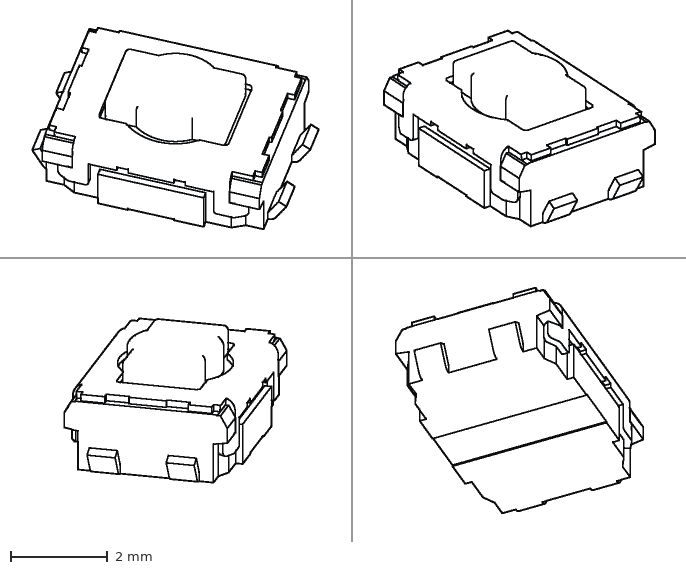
import cadquery as cq
import math

TOTAL_HEIGHT = 2.1
COVER_TOP = 1.65

SHEET = 0.145
COVER_HALF_Y = 1.74
COVER_BEND_RADIUS = 0.27
COVER_UNDERSIDE = COVER_TOP - SHEET
BEND_INNER_RADIUS = COVER_BEND_RADIUS - SHEET
BEND_Y = COVER_HALF_Y - COVER_BEND_RADIUS
BEND_Z = COVER_TOP - COVER_BEND_RADIUS
FLANGE_HALF_X = 1.7
WING_HALF_X = 2.15
LIP_OUTER_ANGLE = math.radians(17)
CORNER_TAB_HALF_X = 2.3
CORNER_TAB_Y = (0.895, 1.4)
MIDDLE_TAB_HALF_X = 2.2
MIDDLE_TAB_HALF_Y = 0.4

OPENING_HALF_X = 1.4
OPENING_HALF_Y = 0.895
OPENING_RADIUS = 1.2
OPENING_CORNER_RADIUS = 0.1

WINDOW_HALF_X = 1.355
WINDOW_TOP = 1.11
WINDOW_NOTCH_X = 0.615
WINDOW_NOTCH_WIDTH = 0.25
WINDOW_NOTCH_TOP = 1.21
LEG_BOTTOM = 0.47
LEG_BEND_X = 1.755
LEG_END_X = 2.07
LEG_SLOPE = math.radians(30)
LEG_END_CORNER_RADIUS = 0.1
LEG_WINDOW_CORNER_RADIUS = 0.075

BASE_HALF_X = 2.35
BASE_HALF_Y = 1.6
BASE_END_HALF_Y = 1.45
BASE_SLOPE_END_X = 1.965
CHANNEL_WIDTH = 1.0
CHANNEL_DEPTH = 0.03

BLOCK_HALF_Y = 1.75
BLOCK_TOP = 1.49
BLOCK_CHAMFER_Y = 1.6
BLOCK_CHAMFER_Z = 1.23
BLOCK_BOTTOM_OUTER = 0.9
BLOCK_BOTTOM_INNER = 0.85

LIP_INNER_ANGLE = math.acos((BLOCK_TOP - BEND_Z) / BEND_INNER_RADIUS)

PLATE_WIDTH = 2.29
PLATE_HEIGHT = 0.88

BUTTON_HALF_X = 1.3
BUTTON_HALF_Y = 0.8
BUTTON_RADIUS = 1.0
BUTTON_EDGE_RADIUS = 0.1

TERMINAL_TIP_X = 2.75
TERMINAL_THICKNESS = 0.2
TERMINAL_WIDTH = 0.6
TERMINAL_Y = 0.845
TERMINAL_SLOPE = math.radians(60)

SIDES = (-1, 1)


def box(x_range, y_range, z_range):
    """Box between the given limits."""
    (x0, x1), (y0, y1), (z0, z1) = x_range, y_range, z_range
    return cq.Workplane("XY").box(x1 - x0, y1 - y0, z1 - z0, centered=False).translate((x0, y0, z0))


def on_both_y_sides(solid):
    return solid.union(solid.mirror("XZ"))


def on_both_x_sides(solid):
    return solid.union(solid.mirror("YZ"))


def along_x(profile, x0, x1):
    """Extrude a YZ profile from x0 to x1."""
    return profile.extrude(x1 - x0).translate((x0, 0, 0))


def rounded_plan(half_x, half_y, corner_radius, disc_radius, z0, z1):
    """Upright prism: a rounded rectangle merged with a central disc."""
    height = z1 - z0
    rectangle = cq.Workplane("XY").rect(2 * half_x, 2 * half_y).extrude(height)
    rectangle = rectangle.edges("|Z").fillet(corner_radius)
    disc = cq.Workplane("XY").circle(disc_radius).extrude(height)
    return rectangle.union(disc).translate((0, 0, z0))


def bend_point(radius, angle):
    """YZ point on the cover bend, with the angle taken from straight up."""
    return (BEND_Y + radius * math.sin(angle), BEND_Z + radius * math.cos(angle))


def make_base():
    """Base with sloped lower corners and a block at each upper corner."""
    plan = [
        (0, 0),
        (BASE_HALF_X, 0),
        (BASE_HALF_X, BASE_END_HALF_Y),
        (BASE_SLOPE_END_X, BASE_END_HALF_Y),
        (FLANGE_HALF_X, BASE_HALF_Y),
        (0, BASE_HALF_Y),
    ]
    core = cq.Workplane("XY").polyline(plan).close().extrude(BLOCK_TOP)

    block_profile = (
        cq.Workplane("YZ")
        .moveTo(0, BLOCK_BOTTOM_INNER)
        .lineTo(BASE_END_HALF_Y, BLOCK_BOTTOM_INNER)
        .lineTo(BLOCK_HALF_Y, BLOCK_BOTTOM_OUTER)
        .lineTo(BLOCK_HALF_Y, BLOCK_CHAMFER_Z)
        .lineTo(BLOCK_CHAMFER_Y, BLOCK_TOP)
        .lineTo(*bend_point(BEND_INNER_RADIUS, LIP_INNER_ANGLE))
        .threePointArc(bend_point(BEND_INNER_RADIUS, LIP_INNER_ANGLE / 2), (BEND_Y, COVER_UNDERSIDE))
        .lineTo(0, COVER_UNDERSIDE)
        .close()
    )
    block = along_x(block_profile, FLANGE_HALF_X, BASE_HALF_X)
    crown = box((0, FLANGE_HALF_X), (0, BASE_HALF_Y), (BLOCK_TOP, COVER_UNDERSIDE))
    plate = box((0, PLATE_WIDTH / 2), (0, BLOCK_HALF_Y), (0, PLATE_HEIGHT))
    quarter = core.union(block).union(crown).union(plate)
    base = on_both_x_sides(on_both_y_sides(quarter))

    half_channel = CHANNEL_WIDTH / 2
    channel = box((-half_channel, half_channel), (-BLOCK_HALF_Y, BLOCK_HALF_Y), (0, CHANNEL_DEPTH))
    return base.cut(channel)


def make_cover_sheet():
    """Bent sheet over the base, with short wings past the flanges and tabs at both ends."""
    outer = box((-WING_HALF_X, WING_HALF_X), (-COVER_HALF_Y, COVER_HALF_Y), (WINDOW_TOP, COVER_TOP))
    outer = outer.edges("|X and >Z").fillet(COVER_BEND_RADIUS)
    inner_half_y = COVER_HALF_Y - SHEET
    inner = box((-WING_HALF_X, WING_HALF_X), (-inner_half_y, inner_half_y), (WINDOW_TOP, COVER_UNDERSIDE))
    inner = inner.edges("|X and >Z").fillet(BEND_INNER_RADIUS)
    sheet = outer.cut(inner)

    lip_cut = [
        (BEND_Y, BEND_Z),
        bend_point(BEND_INNER_RADIUS, LIP_INNER_ANGLE),
        bend_point(COVER_BEND_RADIUS, LIP_OUTER_ANGLE),
        (bend_point(COVER_BEND_RADIUS, LIP_OUTER_ANGLE)[0], COVER_TOP),
        (2 * COVER_HALF_Y, COVER_TOP),
        (2 * COVER_HALF_Y, 0),
        (BEND_Y, 0),
    ]
    wing_trim = along_x(cq.Workplane("YZ").polyline(lip_cut).close(), FLANGE_HALF_X, WING_HALF_X)
    sheet = sheet.cut(on_both_x_sides(on_both_y_sides(wing_trim)))

    tab_z = (COVER_UNDERSIDE, COVER_TOP)
    corner_tabs = on_both_y_sides(box((-CORNER_TAB_HALF_X, CORNER_TAB_HALF_X), CORNER_TAB_Y, tab_z))
    middle_y = (-MIDDLE_TAB_HALF_Y, MIDDLE_TAB_HALF_Y)
    middle_tab = box((-MIDDLE_TAB_HALF_X, MIDDLE_TAB_HALF_X), middle_y, tab_z)
    return sheet.union(corner_tabs).union(middle_tab)


def make_window_notches():
    """Cutter for the notches in the upper edge of both flange windows."""
    notches = cq.Workplane("XY")
    for side in SIDES:
        x0 = side * WINDOW_NOTCH_X - WINDOW_NOTCH_WIDTH / 2
        x_range = (x0, x0 + WINDOW_NOTCH_WIDTH)
        notches = notches.union(box(x_range, (-COVER_HALF_Y, COVER_HALF_Y), (WINDOW_TOP, WINDOW_NOTCH_TOP)))
    return notches


def make_leg():
    """Flange leg that wraps one sloped lower corner of the base."""
    sine, cosine = math.sin(LEG_SLOPE), math.cos(LEG_SLOPE)
    bend_y = COVER_HALF_Y - SHEET
    bend_end = (LEG_BEND_X + SHEET * sine, bend_y + SHEET * cosine)
    end_outer = (LEG_END_X, bend_end[1] - (LEG_END_X - bend_end[0]) * math.tan(LEG_SLOPE))
    end_inner = (end_outer[0] - SHEET * sine, end_outer[1] - SHEET * cosine)
    bend_middle = (LEG_BEND_X + SHEET * math.sin(LEG_SLOPE / 2), bend_y + SHEET * math.cos(LEG_SLOPE / 2))
    leg = (
        cq.Workplane("XY", origin=(0, 0, LEG_BOTTOM))
        .moveTo(WINDOW_HALF_X, COVER_HALF_Y)
        .lineTo(LEG_BEND_X, COVER_HALF_Y)
        .threePointArc(bend_middle, bend_end)
        .lineTo(*end_outer)
        .lineTo(*end_inner)
        .lineTo(WINDOW_HALF_X, end_inner[1])
        .close()
        .extrude(WINDOW_TOP - LEG_BOTTOM)
    )
    window_corner = cq.selectors.NearestToPointSelector((WINDOW_HALF_X, bend_y, LEG_BOTTOM))
    end_middle = ((end_outer[0] + end_inner[0]) / 2, (end_outer[1] + end_inner[1]) / 2, LEG_BOTTOM)
    end_corner = cq.selectors.NearestToPointSelector(end_middle)
    leg = leg.edges(window_corner).fillet(LEG_WINDOW_CORNER_RADIUS)
    return leg.edges(end_corner).fillet(LEG_END_CORNER_RADIUS)


def make_button():
    """Button with a rounded top edge, standing on the base inside the opening."""
    button = rounded_plan(
        BUTTON_HALF_X, BUTTON_HALF_Y, BUTTON_EDGE_RADIUS, BUTTON_RADIUS, COVER_UNDERSIDE, TOTAL_HEIGHT
    )
    return button.faces(">Z").edges().fillet(BUTTON_EDGE_RADIUS)


def make_terminal():
    """Terminal on the +X end: flat under the base, then bent upward and outward."""
    sine, cosine = math.sin(TERMINAL_SLOPE), math.cos(TERMINAL_SLOPE)
    t = TERMINAL_THICKNESS
    bend_end = (BASE_HALF_X + t * sine, t - t * cosine)
    bend_middle = (BASE_HALF_X + t * math.sin(TERMINAL_SLOPE / 2), t - t * math.cos(TERMINAL_SLOPE / 2))
    tip_outer = (TERMINAL_TIP_X, bend_end[1] + (TERMINAL_TIP_X - bend_end[0]) * math.tan(TERMINAL_SLOPE))
    tip_inner = (tip_outer[0] - t * sine, tip_outer[1] + t * cosine)
    return (
        cq.Workplane("XZ")
        .moveTo(BASE_SLOPE_END_X, 0)
        .lineTo(BASE_HALF_X, 0)
        .threePointArc(bend_middle, bend_end)
        .lineTo(*tip_outer)
        .lineTo(*tip_inner)
        .lineTo(BASE_HALF_X, t)
        .lineTo(BASE_SLOPE_END_X, t)
        .close()
        .extrude(TERMINAL_WIDTH / 2, both=True)
        .translate((0, TERMINAL_Y, 0))
    )


opening = rounded_plan(
    OPENING_HALF_X, OPENING_HALF_Y, OPENING_CORNER_RADIUS, OPENING_RADIUS, COVER_UNDERSIDE, COVER_TOP
)
cover = make_cover_sheet().cut(make_window_notches()).cut(opening)
legs = on_both_x_sides(on_both_y_sides(make_leg()))
terminals = on_both_x_sides(on_both_y_sides(make_terminal()))

part = make_base().union(cover).union(legs).union(terminals).union(make_button())
result = cq.Workplane(part.solids().val())